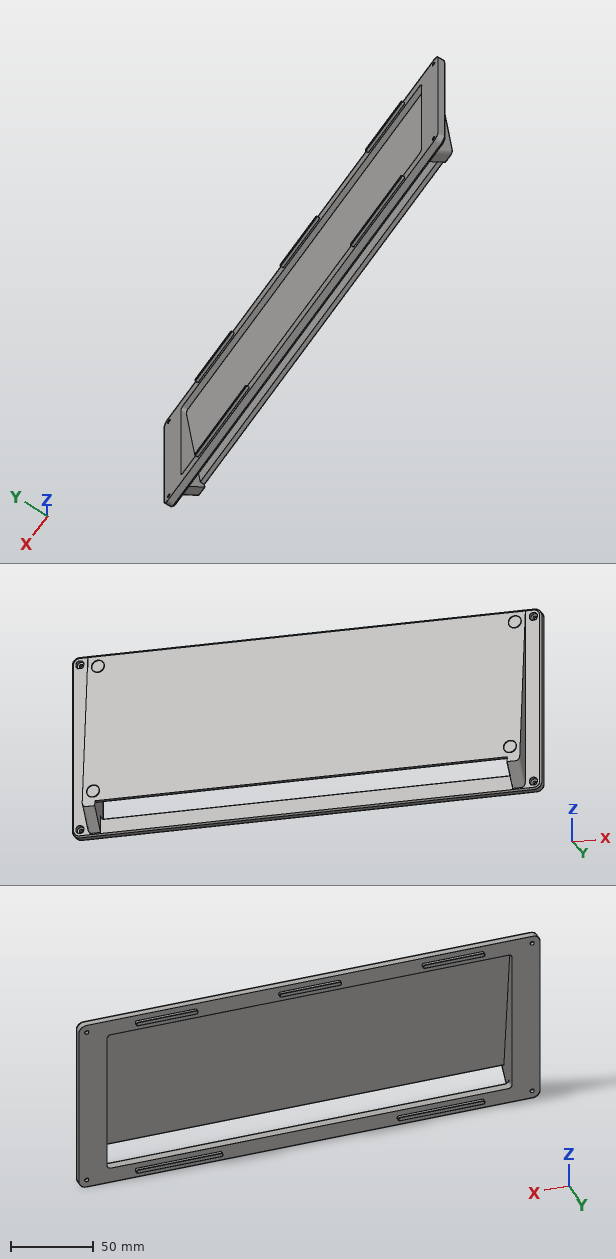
import cadquery as cq
import math

length = 296.2
height = 115.8
plate_depth = 5.5
corner_radius = 4.7
edge_chamfer = 1.05

total_depth = 19.5
rib_height = 2.0
side_margin = 10.0
wedge_half = length / 2 - side_margin
wedge_depth = total_depth - rib_height
apex_z = 14.8
wedge_bottom_z = 1.8
wedge_top_z = height - edge_chamfer
wedge_edge_radius = 2.5

cavity_half = 130.0
cavity_margin = 10.0
cavity_corner_radius = 2.5
floor_thickness = 3.0
slot_top_z = 18.0

screw_inset = 5.0
screw_diameter = 2.5
counterbore_diameter = 5.0
counterbore_depth = 3.0
foot_diameter = 8.0
foot_depth = 0.5
foot_x = 131.5
foot_heights = (25.0, 108.5)

rib_width = 2.5
rib_chamfer = 0.2
rib_inset = 5.0
rib_outer_end = 112.0
short_rib_length = 39.7
long_rib_length = 55.7

slope_run = wedge_top_z - apex_z
slope_rise = wedge_depth - plate_depth
slope_angle = math.atan2(slope_rise, slope_run)


def slope_depth(z):
    """Distance from the back face to the sloping front at height z."""
    return plate_depth + slope_rise * (wedge_top_z - z) / slope_run


def block(half_length, near_depth, far_depth, bottom_z, top_z):
    """Box centred on X = 0 between two depths in front of the back face."""
    return cq.Workplane("XY").box(
        2 * half_length, far_depth - near_depth, top_z - bottom_z, centered=(True, False, False)
    ).translate((0, -far_depth, bottom_z))


def prism(half_length, profile):
    """Extrude a (depth, z) outline symmetrically along X."""
    points = [(-depth, z) for depth, z in profile]
    return cq.Workplane("YZ").polyline(points).close().extrude(half_length, both=True)


def make_plate():
    plate = block(length / 2, 0, plate_depth, 0, height)
    return plate.edges("|Y").fillet(corner_radius).faces("<Y").edges().chamfer(edge_chamfer)


def make_wedge():
    wedge = prism(
        wedge_half,
        [
            (plate_depth / 2, wedge_bottom_z),
            (plate_depth, wedge_bottom_z),
            (wedge_depth, apex_z),
            (plate_depth, wedge_top_z),
            (plate_depth / 2, wedge_top_z),
        ],
    )
    middle_depth = (plate_depth + wedge_depth) / 2
    middle_z = (wedge_bottom_z + apex_z) / 2
    for side in (-1, 1):
        bottom_edge = cq.selectors.NearestToPointSelector((side * wedge_half, -middle_depth, middle_z))
        wedge = wedge.edges(bottom_edge).fillet(wedge_edge_radius)
    return wedge


def make_cavity():
    top_z = height - cavity_margin
    offset = floor_thickness / math.cos(slope_angle)
    pocket = block(cavity_half, 0, wedge_depth, cavity_margin, top_z)
    pocket = pocket.edges("|Y").fillet(cavity_corner_radius)
    return pocket.intersect(
        prism(
            length,
            [
                (0, 0),
                (slope_depth(0) - offset, 0),
                (slope_depth(height) - offset, height),
                (0, height),
            ],
        )
    )


def make_slot():
    """Clears the slanted lower wall, leaving the plate's bottom rail and the two end posts."""
    return block(cavity_half, plate_depth, wedge_depth, 0, slot_top_z)


def drill(part, x, z, diameter, start_depth, end_depth):
    hole = cq.Workplane("XZ", origin=(x, -start_depth, z)).circle(diameter / 2)
    return part.cut(hole.extrude(end_depth - start_depth))


def cut_screw_holes(part):
    for x in (screw_inset - length / 2, length / 2 - screw_inset):
        for z in (screw_inset, height - screw_inset):
            part = drill(part, x, z, screw_diameter, 0, plate_depth)
            part = drill(part, x, z, counterbore_diameter, plate_depth - counterbore_depth, plate_depth)
    return part


def cut_foot_recesses(part):
    for x in (-foot_x, foot_x):
        for z in foot_heights:
            recess = (
                cq.Workplane("XY")
                .circle(foot_diameter / 2)
                .extrude(2 * foot_depth)
                .translate((0, 0, -foot_depth))
                .rotate((0, 0, 0), (1, 0, 0), 90 - math.degrees(slope_angle))
                .translate((x, -slope_depth(z), z))
            )
            part = part.cut(recess)
    return part


def make_rib(center_x, z, rib_length):
    rib = cq.Workplane("XZ", origin=(center_x, 0, z)).slot2D(rib_length, rib_width)
    return rib.extrude(-rib_height).faces(">Y").edges().chamfer(rib_chamfer)


def make_ribs():
    """Three short ribs along the top and two long ones along the bottom, ending in line."""
    short_x = rib_outer_end - short_rib_length / 2
    long_x = rib_outer_end - long_rib_length / 2
    ribs = [make_rib(x, height - rib_inset, short_rib_length) for x in (-short_x, 0, short_x)]
    ribs += [make_rib(x, rib_inset, long_rib_length) for x in (-long_x, long_x)]
    return ribs


result = make_plate().union(make_wedge()).cut(make_slot()).cut(make_cavity())
result = cut_screw_holes(result)
result = cut_foot_recesses(result)
for rib in make_ribs():
    result = result.union(rib)